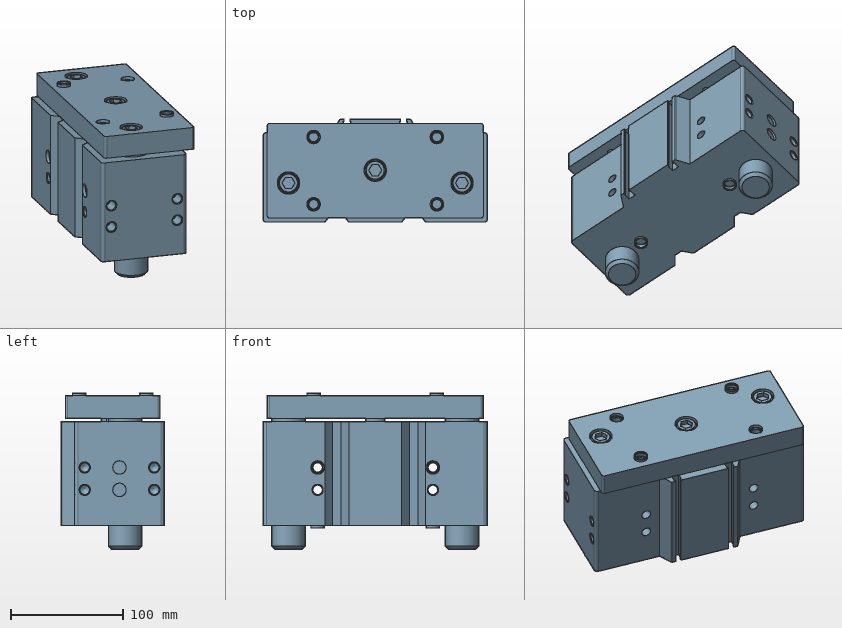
import cadquery as cq
import math


length = 200.0
width = 92.0
height = 92.8
front_y = -width / 2
back_y = width / 2
corner_radius = 2.8

front_pad_half = 23.5
groove_depth = 8.8
groove_flank_run = 7.0
groove_floor_width = 7.5

rail_half = 32.0
rail_height = 12.0
rail_flank_slope = math.tan(math.radians(30))
rail_edge_chamfer = 0.8

slot_x = 25.2
slot_mouth = 5.0
slot_lip = 2.0
slot_inner = 6.5
slot_depth = 8.0

plate_length = 192.8
plate_width = 84.5
plate_thickness = 20.5
plate_corner_radius = 2.0
plate_gap = 3.0
plate_bottom = height + plate_gap
plate_top = plate_bottom + plate_thickness
rod_x = 77.5
rod_y = -11.0
rod_diameter = 30.0
rod_overhang = 21.0
rod_chamfer = 2.8
piston_y = 0.5
piston_diameter = 20.0
piston_flats = 17.2
piston_insertion = 46.0

counterbore_diameter = 20.0
counterbore_depth = 13.0
head_diameter = 18.0
head_chamfer = 1.0
head_recess = 0.8
hex_across_flats = 10.0
hex_depth = 4.0

thread_diameter = 8.5
rim_chamfer = 0.8
hole_spacing_z = 20.0
lower_hole_z = 32.0
hole_heights = (lower_hole_z, lower_hole_z + hole_spacing_z)
cross_hole_x = 51.5
side_axis_y = -6.0
side_hole_offset = 31.0
side_hole_depth = 16.0
drill_point_angle = 118.0
plate_hole_x = 55.0
plate_hole_y = 30.0

sleeve_diameter = 12.0
sleeve_bore = 10.0
sleeve_chamfer = 0.5
sleeve_overhang = 2.2
recess_depth = 2.8
sleeve_length = sleeve_overhang + recess_depth

plug_diameter = 12.0
plug_recess = 2.0
plug_length = 4.0


def cylinder(diameter, depth, x, y, z):
    """Upright cylinder that starts at height z."""
    return cq.Workplane("XY", origin=(x, y, z)).circle(diameter / 2).extrude(depth)


def countersunk_hole(diameter, depth, rim, pointed=False):
    """Cutter along +Z from its mouth at the origin, with a 45 degree rim and an optional drill point."""
    radius = diameter / 2
    outline = cq.Workplane("XZ").moveTo(0, 0).lineTo(radius + rim, 0)
    outline = outline.lineTo(radius, rim).lineTo(radius, depth)
    point_height = radius / math.tan(math.radians(drill_point_angle / 2)) if pointed else 0
    outline = outline.lineTo(0, depth + point_height)
    return outline.close().revolve(360, (0, 0), (0, 1))


def housing_blank():
    """Extruded outline, drawn for +X and mirrored, with rounded outer corners."""
    half = length / 2
    groove_start = front_pad_half + groove_flank_run
    groove_end = groove_start + groove_floor_width
    shoulder_y = back_y - rail_height
    floor_y = front_y + groove_depth
    half_outline = [
        (0, front_y),
        (front_pad_half, front_y),
        (groove_start, floor_y),
        (groove_end, floor_y),
        (groove_end + groove_flank_run, front_y),
        (half, front_y),
        (half, shoulder_y),
        (rail_half + (rail_height - rail_edge_chamfer) * rail_flank_slope, shoulder_y),
        (rail_half, back_y - rail_edge_chamfer),
        (rail_half - rail_edge_chamfer, back_y),
        (0, back_y),
    ]
    blank = cq.Workplane("XY").polyline(half_outline).mirrorY().extrude(height)
    return blank.edges("|Z and (<X or >X)").fillet(corner_radius)


def sensor_slot(x):
    """T-shaped slot, open at the back and running the full height."""
    mouth = cq.Workplane("XY").box(slot_mouth, slot_depth, height, centered=(True, False, False))
    inner_depth = slot_depth - slot_lip
    inner = cq.Workplane("XY").box(slot_inner, inner_depth, height, centered=(True, False, False))
    return mouth.union(inner).translate((x, back_y - slot_depth, 0))


def make_housing():
    housing = housing_blank()
    for side in (-1, 1):
        housing = housing.cut(sensor_slot(side * slot_x))
        housing = housing.cut(cylinder(rod_diameter, height, side * rod_x, rod_y, 0))
        housing = housing.cut(cylinder(sleeve_diameter, recess_depth, side * cross_hole_x, side_axis_y, 0))

        cross_hole = countersunk_hole(thread_diameter, width, rim_chamfer).rotate((0, 0, 0), (1, 0, 0), -90)
        for z in hole_heights:
            housing = housing.cut(cross_hole.translate((side * cross_hole_x, front_y, z)))
        upper_z = hole_heights[-1]
        recess = cylinder(sleeve_diameter, recess_depth, 0, 0, 0).rotate((0, 0, 0), (1, 0, 0), -90)
        housing = housing.cut(recess.translate((side * cross_hole_x, front_y, upper_z)))
        inner_hole = cross_hole.translate((side * cross_hole_x, front_y + recess_depth, upper_z))
        housing = housing.cut(inner_hole)

        side_hole = countersunk_hole(thread_diameter, side_hole_depth, rim_chamfer, pointed=True)
        side_hole = side_hole.rotate((0, 0, 0), (0, 1, 0), -side * 90)
        for z in hole_heights:
            for y in (side_axis_y - side_hole_offset, side_axis_y + side_hole_offset):
                housing = housing.cut(side_hole.translate((side * length / 2, y, z)))

    housing = housing.cut(piston_rod())
    for z in hole_heights:
        housing = housing.cut(plug_cylinder(0, plug_recess + plug_length, z))
    return housing


def piston_rod():
    """Round rod with two wrench flats above the housing."""
    rod = cylinder(piston_diameter, piston_insertion, 0, piston_y, height - piston_insertion)
    neck = cylinder(piston_diameter, plate_gap, 0, piston_y, height)
    flats = cq.Workplane("XY", origin=(0, piston_y, height))
    flats = flats.rect(piston_flats, piston_diameter).extrude(plate_gap)
    return rod.union(neck.intersect(flats))


def screw_gap(x, y):
    """Space between a counterbore and the screw head in it, with the hexagon socket."""
    counterbore = cylinder(counterbore_diameter, counterbore_depth, x, y, plate_top - counterbore_depth)
    head_height = counterbore_depth - head_recess
    head = cylinder(head_diameter, head_height, x, y, plate_top - counterbore_depth)
    head = head.faces(">Z").chamfer(head_chamfer)
    hex_across_corners = hex_across_flats / math.cos(math.radians(30))
    socket = cq.Workplane("XY", origin=(x, y, plate_top - head_recess))
    socket = socket.polygon(6, hex_across_corners).extrude(-hex_depth)
    return counterbore.cut(head.cut(socket))


def make_slide():
    slide = cq.Workplane("XY", origin=(0, 0, plate_bottom)).rect(plate_length, plate_width)
    slide = slide.extrude(plate_thickness).edges("|Z").fillet(plate_corner_radius)
    slide = slide.union(piston_rod())
    for side in (-1, 1):
        rod = cylinder(rod_diameter, plate_bottom + rod_overhang, side * rod_x, rod_y, -rod_overhang)
        slide = slide.union(rod.faces("<Z").chamfer(rod_chamfer))

    for x, y in ((-rod_x, rod_y), (0, piston_y), (rod_x, rod_y)):
        slide = slide.cut(screw_gap(x, y))

    recess = cylinder(sleeve_diameter, recess_depth, 0, 0, 0)
    through = countersunk_hole(thread_diameter, plate_thickness - recess_depth, rim_chamfer)
    stepped_hole = recess.union(through.translate((0, 0, recess_depth)))
    stepped_hole = stepped_hole.rotate((0, 0, 0), (1, 0, 0), 180)
    for x in (-plate_hole_x, plate_hole_x):
        for y in (-plate_hole_y, plate_hole_y):
            slide = slide.cut(stepped_hole.translate((x, y, plate_top)))
    return slide


def make_sleeve(x, y, z):
    """Centring sleeve with its lower end at height z."""
    sleeve = cylinder(sleeve_diameter, sleeve_length, x, y, z)
    sleeve = sleeve.cut(cylinder(sleeve_bore, sleeve_length, x, y, z))
    return sleeve.faces("<Z or >Z").edges(cq.selectors.RadiusNthSelector(0)).chamfer(sleeve_chamfer)


def plug_cylinder(start, depth, z):
    """Cylinder along +X that begins at a distance inside the -X face."""
    base = cq.Workplane("YZ", origin=(start - length / 2, side_axis_y, z))
    return base.circle(plug_diameter / 2).extrude(depth)


housing = make_housing()
slide = make_slide()

sleeve_places = [
    (-plate_hole_x, -plate_hole_y, plate_top - recess_depth),
    (plate_hole_x, plate_hole_y, plate_top - recess_depth),
    (-cross_hole_x, side_axis_y, -sleeve_overhang),
    (cross_hole_x, side_axis_y, -sleeve_overhang),
]
sleeves = [make_sleeve(x, y, z) for x, y, z in sleeve_places]
plugs = [plug_cylinder(plug_recess, plug_length, z) for z in hole_heights]

result = cq.Compound.makeCompound(
    [body.solids().val() for body in (housing, slide, *sleeves, *plugs)]
)